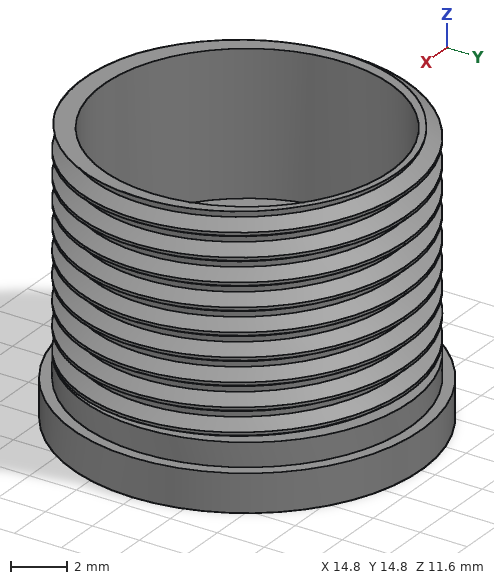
import cadquery as cq
import math

flange_diameter = 14.8
flange_height = 1.6
collar_height = 1.0

thread_diameter = 13.88
root_diameter = 12.74
pitch = 1.0
thread_length = 9.0
flank_angle = 30.0
crest_width = pitch / 8
groove_overrun = 0.05
start_angle = 90.0

bore_diameter = 12.2
bore_depth = 6.0

thread_start = flange_height + collar_height
total_height = thread_start + thread_length


def cylinder(diameter, bottom, top):
    return cq.Workplane("XY").workplane(offset=bottom).circle(diameter / 2).extrude(top - bottom)


def thread_groove():
    """Trapezoidal groove on a helix that overruns the thread by one pitch at each end."""
    root_radius = root_diameter / 2
    outer_radius = thread_diameter / 2 + groove_overrun
    flank_width = (thread_diameter - root_diameter) / 2 * math.tan(math.radians(flank_angle))
    overrun_width = groove_overrun * math.tan(math.radians(flank_angle))
    half_crest_gap = (pitch - crest_width) / 2
    half_root = half_crest_gap - flank_width
    half_outer = half_crest_gap + overrun_width

    profile = cq.Workplane("XZ").polyline([
        (root_radius, -half_root),
        (outer_radius, -half_outer),
        (outer_radius, half_outer),
        (root_radius, half_root),
    ]).close()
    path = cq.Workplane(cq.Wire.makeHelix(pitch, thread_length + 2 * pitch, root_radius))
    groove = profile.sweep(path, isFrenet=True)
    return groove.rotate((0, 0, 0), (0, 0, 1), start_angle).translate((0, 0, thread_start - pitch))


def thread():
    """Cylinder with the groove cut round it, square at the collar and the rim."""
    return cylinder(thread_diameter, thread_start, total_height).cut(thread_groove())


flange = cylinder(flange_diameter, 0, flange_height)
collar = cylinder(thread_diameter, flange_height, thread_start)
bore = cylinder(bore_diameter, total_height - bore_depth, total_height)

result = flange.union(collar).union(thread()).cut(bore)